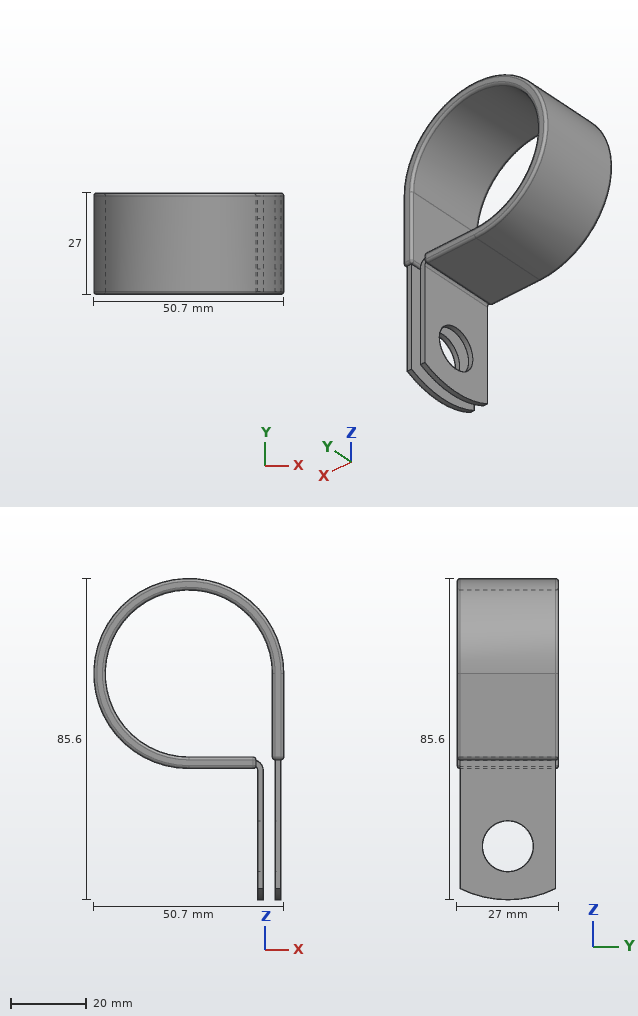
import cadquery as cq
import math

STRAP_THICKNESS = 1.524
STRAP_WIDTH = 25.4
BEND_INNER_RADIUS = 1.27
TAB_GAP = 3.175

CUSHION_WALL = 0.79375
LOOP_INNER_RADIUS = 22.225
LOWER_CUSHION_END = 17.9
UPRIGHT_CUSHION_END = -23.0
EDGE_ROUND = 0.79

HOLE_DIAMETER = 13.494
HOLE_TO_TIP = 14.2875
TIP_RADIUS = 28.575
TIP_DROP = 60.305

COS_45 = math.sqrt(0.5)

STRAP_INNER_RADIUS = LOOP_INNER_RADIUS + CUSHION_WALL
STRAP_OUTER_RADIUS = STRAP_INNER_RADIUS + STRAP_THICKNESS
LOOP_OUTER_RADIUS = STRAP_OUTER_RADIUS + CUSHION_WALL
CUSHION_WIDTH = STRAP_WIDTH + 2 * CUSHION_WALL
LEFT_TAB_OUTER = STRAP_INNER_RADIUS - TAB_GAP
LEFT_TAB_INNER = LEFT_TAB_OUTER - STRAP_THICKNESS
BEND_OUTER_RADIUS = BEND_INNER_RADIUS + STRAP_THICKNESS
BEND_X = LEFT_TAB_INNER - BEND_INNER_RADIUS
BEND_Z = -STRAP_OUTER_RADIUS - BEND_INNER_RADIUS


def loop_band(inner_radius, outer_radius, lower_end, upright_end, width):
    """Three-quarter ring with a straight run along +X at the bottom and one down -Z at the right."""
    inner_mid = inner_radius * COS_45
    outer_mid = outer_radius * COS_45
    return (
        cq.Workplane("XZ")
        .moveTo(lower_end, -inner_radius)
        .lineTo(0, -inner_radius)
        .threePointArc((-inner_mid, inner_mid), (inner_radius, 0))
        .lineTo(inner_radius, upright_end)
        .lineTo(outer_radius, upright_end)
        .lineTo(outer_radius, 0)
        .threePointArc((-outer_mid, outer_mid), (0, -outer_radius))
        .lineTo(lower_end, -outer_radius)
        .close()
        .extrude(width / 2, both=True)
    )


def make_cushion():
    """Rubber band rounded on both sides and on both ends."""
    band = loop_band(
        LOOP_INNER_RADIUS, LOOP_OUTER_RADIUS, LOWER_CUSHION_END, UPRIGHT_CUSHION_END, CUSHION_WIDTH
    )
    side_edges = band.faces("<Y or >Y").edges()
    mid_radius = (LOOP_INNER_RADIUS + LOOP_OUTER_RADIUS) / 2
    end_centres = [(LOWER_CUSHION_END, 0, -mid_radius), (mid_radius, 0, UPRIGHT_CUSHION_END)]
    rounded_edges = side_edges.vals()
    for centre in end_centres:
        end_face = band.faces(cq.selectors.NearestToPointSelector(centre))
        rounded_edges += end_face.edges("|Y").vals()
    return band.newObject(rounded_edges).fillet(EDGE_ROUND)


def make_left_tab():
    """Quarter bend off the bottom run, continuing straight down."""
    return (
        cq.Workplane("XZ")
        .moveTo(BEND_X, BEND_Z + BEND_OUTER_RADIUS)
        .threePointArc(
            (BEND_X + BEND_OUTER_RADIUS * COS_45, BEND_Z + BEND_OUTER_RADIUS * COS_45),
            (LEFT_TAB_OUTER, BEND_Z),
        )
        .lineTo(LEFT_TAB_OUTER, -TIP_DROP)
        .lineTo(LEFT_TAB_INNER, -TIP_DROP)
        .lineTo(LEFT_TAB_INNER, BEND_Z)
        .threePointArc(
            (BEND_X + BEND_INNER_RADIUS * COS_45, BEND_Z + BEND_INNER_RADIUS * COS_45),
            (BEND_X, BEND_Z + BEND_INNER_RADIUS),
        )
        .close()
        .extrude(STRAP_WIDTH / 2, both=True)
    )


def make_tab_trim():
    """Waste body that cuts both tabs to a curved tip and drills the bolt hole through them."""
    half_width = STRAP_WIDTH / 2
    shoulder_z = -TIP_DROP + TIP_RADIUS - math.sqrt(TIP_RADIUS**2 - half_width**2)
    tip_waste = (
        cq.Workplane("YZ")
        .moveTo(-half_width, shoulder_z)
        .threePointArc((0, -TIP_DROP), (half_width, shoulder_z))
        .lineTo(half_width, -TIP_DROP)
        .lineTo(-half_width, -TIP_DROP)
        .close()
        .extrude(LOOP_OUTER_RADIUS)
    )
    hole = (
        cq.Workplane("YZ")
        .center(0, -TIP_DROP + HOLE_TO_TIP)
        .circle(HOLE_DIAMETER / 2)
        .extrude(LOOP_OUTER_RADIUS)
    )
    return tip_waste.union(hole)


def make_strap():
    """Strap loop whose upright run forms the right tab, plus the bent left tab."""
    loop = loop_band(STRAP_INNER_RADIUS, STRAP_OUTER_RADIUS, BEND_X, -TIP_DROP, STRAP_WIDTH)
    return loop.union(make_left_tab()).cut(make_tab_trim())


result = make_cushion().union(make_strap())